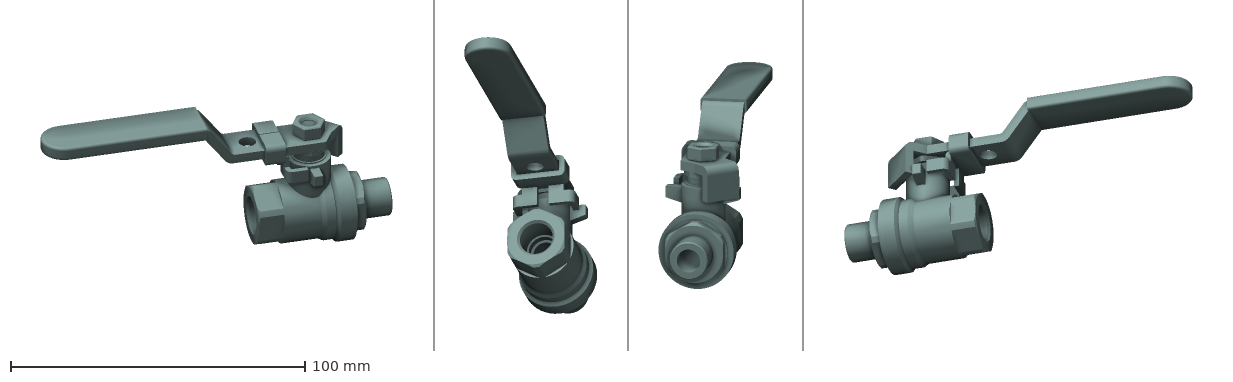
import cadquery as cq
import math


hexagon_corner_ratio = 1 / math.cos(math.radians(30))
hexagon_step = 60

barrel_d = 22.0
flange_d = 26.0
collar_d = 23.8
hex_flats = 20.0
end_face_d = 20.0
end_chamfer = 0.5
inlet_y = -20.3
inlet_hex_end = -11.3
collar_taper_start = 1.7
collar_start = 3.4
collar_end = 6.6
groove_d = 23.2
groove_y = 6.8
flange_start = 7.9
joint_y = 12.0
flange_end = 13.7
hex_relief = 0.7
connector_hex_end = 17.7
connector_chamfer = 0.7
spigot_end = 27.8
spigot_d = 13.2
spigot_chamfer = 0.4

bore_d = 8.0
seat_d = 10.0
seat_depth = 12.9
thread_d = 11.5
thread_depth = 10.4
thread_mouth_d = 13.2

neck_d = 15.0
neck_top = 20.6
lip_d = 12.0
lip_top = 21.1
ear_half_span = 12.8
ear_width = 3.2
ear_top = 19.6
ear_outer_bottom = 15.7
ear_root_bottom = 14.2
ear_round = 0.4

gland_d = 10.7
gland_bottom = 14.6
gland_hex_bottom = 23.8
gland_hex_flats = 12.0
gland_corner_d = 13.2

stem_d = 5.0
stem_bottom = 7.3

lever_thickness = 3.3
lever_bottom = 26.0
lever_top = lever_bottom + lever_thickness
lever_half_width = 7.2
lever_rise = 11.5
lever_angle = 53.0
lever_bend_y = -28.7
bend_inner_r = 1.7
bend_outer_r = 3.4
lever_hole_d = 6.0
lever_hole_y = -21.6
tab_turn = 135.0
tab_thickness = 3.0
tab_half_width = 6.5
tab_reach = 11.8
tab_bend_r = 2.9
tab_bottom = 17.1
head_corner_y = 4.1
head_corner_x = 1.7

grip_wall = 0.79
grip_half_width = lever_half_width + grip_wall
grip_start = -38.0
grip_end = -94.2
grip_round = 1.0

nut_flats = 10.0
nut_height = 4.8
nut_edge_round = 0.5
nut_chamfer = 0.3
nut_mouth_d = 7.0
nut_mouth_depth = 1.0
nut_top = lever_top + nut_height
stem_recess = 1.2
stem_top = nut_top - stem_recess

slide_wall = 2.0
slide_clearance = 0.2
slide_front = -17.5
slide_back = -10.5
slide_half_width = 9.4
slide_bottom = lever_bottom - slide_clearance - slide_wall
slide_top = lever_top + slide_clearance + slide_wall
slide_round = 2.1
slide_seam = 0.4
leg_half_width = 7.2
leg_wall = 1.8
leg_bend_r = 1.5
fork_half_width = 10.9
fork_top = 21.5
fork_bottom = 17.1
fork_tip_y = -3.0
fork_slot = 4.0
fork_round = 2.1
fork_inner_round = 0.6


def revolve_about_pipe(profile):
    """Solid of revolution about the Y axis from (radius, y) points."""
    return cq.Workplane("XY").polyline(profile).close().revolve(360, (0, 0, 0), (0, 1, 0))


def cylinder_z(diameter, bottom, top):
    return cq.Workplane("XY").workplane(offset=bottom).circle(diameter / 2).extrude(top - bottom)


def box_between(x0, x1, y0, y1, z0, z1):
    return cq.Workplane("XY").box(x1 - x0, y1 - y0, z1 - z0, centered=False).translate((x0, y0, z0))


def round_ended_strip(half_width, start_y, end_y, bottom, top):
    """Flat strip along Y with a square end at start_y and a half-round end that reaches end_y."""
    arc_y = end_y + half_width
    strip = cq.Workplane("XY").workplane(offset=bottom).moveTo(-half_width, start_y)
    strip = strip.lineTo(-half_width, arc_y)
    strip = strip.threePointArc((0, end_y), (half_width, arc_y))
    return strip.lineTo(half_width, start_y).close().extrude(top - bottom)


def cut_hexagon(solid, y0, y1):
    """Cut six flats on the pipe line between y0 and y1, two of them facing +X and -X."""
    block = box_between(hex_flats / 2, flange_d, -flange_d, flange_d, y0, y1)
    block = block.rotate((0, 0, 0), (1, 0, 0), -90)
    for index in range(360 // hexagon_step):
        solid = solid.cut(block.rotate((0, 0, 0), (0, 1, 0), hexagon_step * index))
    return solid


def make_ears():
    """Stop ears on both sides of the neck, with undersides that slope down to the neck."""
    root_x = neck_d / 2
    profile = [
        (-ear_half_span, ear_top),
        (ear_half_span, ear_top),
        (ear_half_span, ear_outer_bottom),
        (root_x, ear_root_bottom),
        (-root_x, ear_root_bottom),
        (-ear_half_span, ear_outer_bottom),
    ]
    ears = cq.Workplane("XZ").polyline(profile).close().extrude(ear_width / 2, both=True)
    return ears.faces("<X or >X").edges().fillet(ear_round)


def make_body():
    barrel_r = barrel_d / 2
    outside = revolve_about_pipe([
        (0, inlet_y),
        (end_face_d / 2, inlet_y),
        (barrel_r, inlet_y + end_chamfer),
        (barrel_r, collar_taper_start),
        (collar_d / 2, collar_start),
        (collar_d / 2, collar_end),
        (groove_d / 2, groove_y),
        (flange_d / 2, flange_start),
        (flange_d / 2, joint_y),
        (0, joint_y),
    ])
    outside = cut_hexagon(outside, inlet_y, inlet_hex_end)
    outside = outside.union(cylinder_z(neck_d, 0, neck_top)).union(cylinder_z(lip_d, 0, lip_top))
    outside = outside.union(make_ears())

    mouth_depth = (thread_mouth_d - thread_d) / 2
    passage = revolve_about_pipe([
        (0, inlet_y),
        (thread_mouth_d / 2, inlet_y),
        (thread_d / 2, inlet_y + mouth_depth),
        (thread_d / 2, inlet_y + thread_depth),
        (seat_d / 2, inlet_y + thread_depth),
        (seat_d / 2, inlet_y + seat_depth),
        (bore_d / 2, inlet_y + seat_depth),
        (bore_d / 2, joint_y),
        (0, joint_y),
    ])
    gland_hole = cylinder_z(gland_d, gland_bottom, lip_top)
    stem_hole = cylinder_z(stem_d, stem_bottom, lip_top)
    return outside.cut(passage).cut(gland_hole).cut(stem_hole)


def make_connector():
    """Male end with its own slice of the flange, a hexagon and a plain spigot."""
    outside = revolve_about_pipe([
        (bore_d / 2, joint_y),
        (flange_d / 2, joint_y),
        (flange_d / 2, flange_end),
        (barrel_d / 2, flange_end),
        (barrel_d / 2, connector_hex_end - connector_chamfer),
        (end_face_d / 2, connector_hex_end),
        (spigot_d / 2, connector_hex_end),
        (spigot_d / 2, spigot_end - spigot_chamfer),
        (spigot_d / 2 - spigot_chamfer, spigot_end),
        (bore_d / 2, spigot_end),
    ])
    return cut_hexagon(outside, flange_end + hex_relief, connector_hex_end)


def make_gland_nut():
    """Round gland screwed into the neck, with a hexagon head whose corners are turned off."""
    head_height = lever_bottom - gland_hex_bottom
    corner_to_corner = gland_hex_flats * hexagon_corner_ratio
    head = cq.Workplane("XY").workplane(offset=gland_hex_bottom)
    head = head.polygon(6, corner_to_corner).extrude(head_height)
    head = head.intersect(cylinder_z(gland_corner_d, gland_hex_bottom, lever_bottom))
    gland = head.union(cylinder_z(gland_d, gland_bottom, gland_hex_bottom))
    return gland.cut(cylinder_z(stem_d, gland_bottom, lever_bottom))


def make_stem():
    return cylinder_z(stem_d, stem_bottom, stem_top)


def make_hand_nut():
    corner_to_corner = nut_flats * hexagon_corner_ratio
    nut = cq.Workplane("XY").polygon(6, corner_to_corner).extrude(nut_height)
    nut = nut.edges("|Z").fillet(nut_edge_round).faces("<Z or >Z").edges().chamfer(nut_chamfer)
    nut = nut.rotate((0, 0, 0), (0, 0, 1), hexagon_step / 2).translate((0, 0, lever_top))
    mouth = cq.Workplane("XZ").polyline([
        (0, nut_top),
        (nut_mouth_d / 2, nut_top),
        (stem_d / 2, nut_top - nut_mouth_depth),
        (0, nut_top - nut_mouth_depth),
    ]).close().revolve(360, (0, 0, 0), (0, 1, 0))
    return nut.cut(mouth).cut(cylinder_z(stem_d, lever_top, nut_top))


def make_lever_bar():
    """Cranked flat bar from the stem to its rounded far end inside the grip."""
    slope = math.radians(lever_angle)
    crank_run = lever_rise / math.tan(slope)
    mitre_shift = lever_thickness * math.tan(slope / 2)
    upper_bend_y = lever_bend_y - crank_run
    far_end = grip_end + grip_wall
    upper_corners = [(lever_bend_y, lever_top), (upper_bend_y, lever_top + lever_rise)]
    lower_corners = [
        (lever_bend_y - mitre_shift, lever_bottom),
        (upper_bend_y - mitre_shift, lever_bottom + lever_rise),
    ]
    profile = [
        (0, lever_top),
        *upper_corners,
        (far_end, lever_top + lever_rise),
        (far_end, lever_bottom + lever_rise),
        *reversed(lower_corners),
        (0, lever_bottom),
    ]
    bar = cq.Workplane("YZ").polyline(profile).close().extrude(lever_half_width, both=True)
    inner_corners = [upper_corners[0], lower_corners[1]]
    outer_corners = [upper_corners[1], lower_corners[0]]
    for corners, radius in ((inner_corners, bend_inner_r), (outer_corners, bend_outer_r)):
        for y, z in corners:
            bar = bar.edges(cq.selectors.NearestToPointSelector((0, y, z))).fillet(radius)
    outline = round_ended_strip(lever_half_width, 0, far_end, lever_bottom, lever_top + lever_rise)
    return bar.intersect(outline)


def make_lever_tab():
    """Stop tab along +X that turns down at its end, then turned to its place about the stem."""
    tab = box_between(0, tab_reach, -tab_half_width, tab_half_width, tab_bottom, lever_top)
    tab = tab.edges("|Y and >X and >Z").fillet(tab_bend_r)
    under = box_between(0, tab_reach - tab_thickness, -tab_half_width, tab_half_width,
                        tab_bottom, lever_bottom)
    return tab.cut(under).rotate((0, 0, 0), (0, 0, 1), tab_turn)


def make_lever():
    corner = [(0, 0), (lever_half_width, 0), (lever_half_width, head_corner_y),
              (head_corner_x, tab_half_width * math.sqrt(2) - head_corner_x)]
    head = cq.Workplane("XY").workplane(offset=lever_bottom).polyline(corner).close()
    head = head.extrude(lever_thickness)
    lever = make_lever_bar().union(make_lever_tab()).union(head)
    lever = lever.cut(cylinder_z(stem_d, lever_bottom, lever_top))
    return lever.cut(cylinder_z(lever_hole_d, lever_bottom, lever_top).translate((0, lever_hole_y, 0)))


def make_grip(lever):
    """Soft sleeve of even wall around the far end of the lever."""
    bottom = lever_bottom + lever_rise - grip_wall
    top = lever_top + lever_rise + grip_wall
    sleeve = round_ended_strip(grip_half_width, grip_start, grip_end, bottom, top)
    sleeve = sleeve.faces(">Z or <Z").edges("not >Y").fillet(grip_round)
    return sleeve.cut(lever)


def make_lock_slide():
    """Clip folded around the lever, with a leg that carries a fork over the stop ears."""
    clip = box_between(-slide_half_width, slide_half_width, slide_front, slide_back,
                       slide_bottom, slide_top).edges("|Y").fillet(slide_round)
    inner_half = slide_half_width - slide_wall
    clip = clip.cut(box_between(-inner_half, inner_half, slide_front, slide_back,
                                slide_bottom + slide_wall, slide_top - slide_wall))
    clip = clip.cut(box_between(-slide_seam / 2, slide_seam / 2, slide_front, slide_back,
                                lever_top, slide_top))

    leg_back = slide_back + leg_wall
    leg = box_between(-leg_half_width, leg_half_width, slide_back, leg_back,
                      fork_bottom, slide_bottom + slide_wall)
    leg = leg.edges(">Y and >Z").fillet(leg_bend_r)

    fork = box_between(-fork_half_width, fork_half_width, slide_back, fork_tip_y, fork_bottom, fork_top)
    fork = fork.edges("|Z and <Y").fillet(fork_round)
    fork_inner = fork_half_width - slide_wall
    throat = box_between(-fork_inner, fork_inner, leg_back, fork_tip_y, fork_bottom, fork_top)
    throat = throat.edges("|Z and <Y").fillet(fork_inner_round)
    slot = box_between(-fork_slot / 2, fork_slot / 2, slide_back, leg_back, fork_bottom, slide_bottom)
    return clip.union(leg).union(fork.cut(throat)).cut(slot)


body = make_body()
connector = make_connector()
gland_nut = make_gland_nut()
stem = make_stem()
lever = make_lever()
grip = make_grip(lever)
hand_nut = make_hand_nut()
lock_slide = make_lock_slide()

bodies = [body, connector, gland_nut, stem, lever, grip, hand_nut, lock_slide]
result = cq.Compound.makeCompound([part.val() for part in bodies])